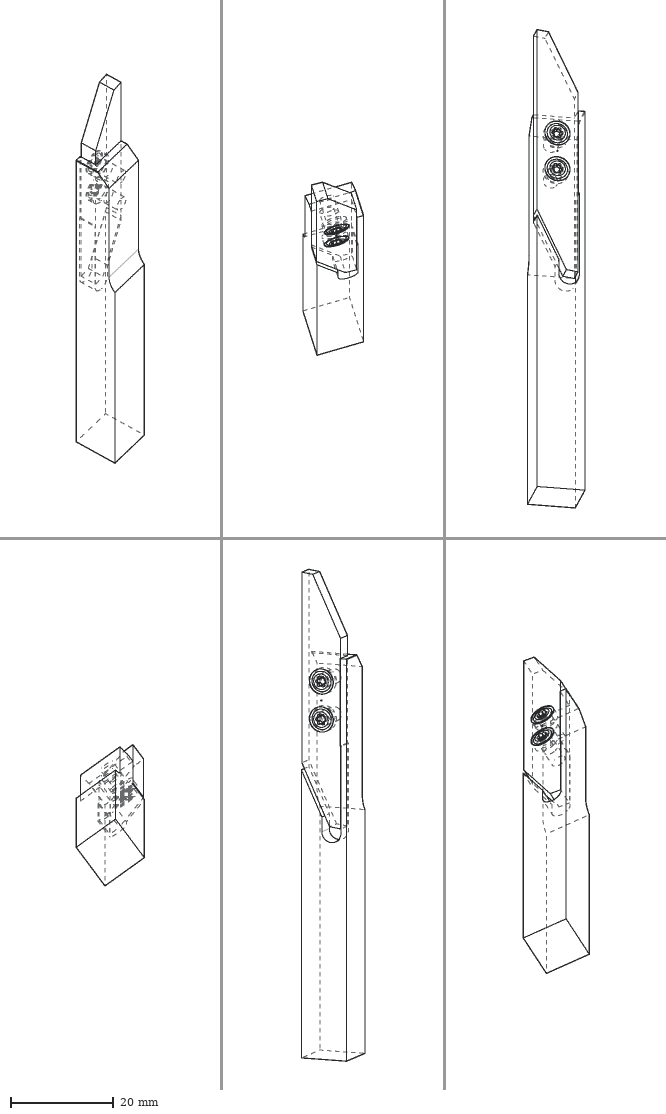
import cadquery as cq
import math


HOLDER_SIDE = 9.6
HOLDER_TOP = 80.0
HEAD_THICKNESS = 8.1
HEAD_CHAMFER = 2.8
STEP_Z = 48.5
STEP_RADIUS = 4.8
FRONT_EDGE_CHAMFER = 0.1

TOOL_LENGTH = 96.6
BLADE_INSET = 0.24
BLADE_THICKNESS = 3.6
BLADE_WIDTH = 8.2
BLADE_LENGTH = 50.5
TIP_WIDTH = 2.3
TIP_DROP = 0.3
SHOULDER_HEIGHT = 12.7
CENTRE_MARK_RADIUS = 0.1
CENTRE_MARK_DEPTH = 0.2

BLADE_CENTRE_Y = HOLDER_SIDE - BLADE_WIDTH / 2
BLADE_CENTRE_Z = TOOL_LENGTH - BLADE_LENGTH / 2
BACKING_WALL_Y = HOLDER_SIDE - BLADE_WIDTH
POCKET_FLOOR = BLADE_INSET + BLADE_THICKNESS

SLOPE_GAP = 1.4
RELIEF_RADIUS = 2.0
RELIEF_UNDERCUT = 0.2
RELIEF_CENTRE_Z = 45.3
RELIEF_TOP = 62.6

SCREW_PITCH = 7.5
HEAD_RADIUS = 2.5
HEAD_RECESS = 0.2
HEAD_FLANGE = 1.5
CROWN_RADIUS = 2.0
CROWN_FACE_RADIUS = 1.5
CROWN_HEIGHT = 0.3
SHANK_RADIUS = 1.45
SCREW_LENGTH = 6.6
SOCKET_CORE_RADIUS = 0.8
SOCKET_LOBE_RADIUS = 0.34
SOCKET_LOBES = 6
SOCKET_DEPTH = 0.8
SOCKET_POINT_RADIUS = 0.6
SOCKET_POINT_DEPTH = 0.5

FLANGE_FACE = BLADE_INSET + HEAD_RECESS
CROWN_FACE = FLANGE_FACE - CROWN_HEIGHT
COUNTERBORE_FLOOR = FLANGE_FACE + HEAD_FLANGE
SCREW_END = FLANGE_FACE + SCREW_LENGTH
SCREW_HEIGHTS = [BLADE_CENTRE_Z + side * SCREW_PITCH / 2 for side in (-1, 1)]


def side_plane(x):
    """Sketch plane at the given X: local x is Y, local y is Z, extrusion goes to +X."""
    return cq.Workplane("YZ", origin=(x, 0, 0))


def rod(radius, start_x, end_x, z):
    """Cylinder along X on the blade's centre line."""
    return side_plane(start_x).center(BLADE_CENTRE_Y, z).circle(radius).extrude(end_x - start_x)


def cone(start_radius, end_radius, start_x, height, z):
    """Cone along +X on the blade's centre line."""
    base = cq.Vector(start_x, BLADE_CENTRE_Y, z)
    return cq.Workplane(cq.Solid.makeCone(start_radius, end_radius, height, base, cq.Vector(1, 0, 0)))


def blade_outline():
    """Blade corners; the outline is unchanged by half a turn about its centre."""
    half_width = BLADE_WIDTH / 2
    half_length = BLADE_LENGTH / 2
    upper = [
        (half_width, half_length),
        (half_width - TIP_WIDTH, half_length - TIP_DROP),
        (-half_width, SHOULDER_HEIGHT),
    ]
    lower = [(-y, -z) for y, z in upper]
    return [(BLADE_CENTRE_Y + y, BLADE_CENTRE_Z + z) for y, z in upper + lower]


def make_blade():
    blade = side_plane(BLADE_INSET).polyline(blade_outline()).close().extrude(BLADE_THICKNESS)
    for z in SCREW_HEIGHTS:
        blade = blade.cut(rod(HEAD_RADIUS, BLADE_INSET, COUNTERBORE_FLOOR, z))
        blade = blade.cut(rod(SHANK_RADIUS, COUNTERBORE_FLOOR, POCKET_FLOOR, z))
    mark_end = BLADE_INSET + CENTRE_MARK_DEPTH
    return blade.cut(rod(CENTRE_MARK_RADIUS, BLADE_INSET, mark_end, BLADE_CENTRE_Z))


def make_pocket():
    """Space for the blade, open to the top and the +Y side, with a relief slot at its lower end."""
    slope_top = BLADE_CENTRE_Z - SHOULDER_HEIGHT - SLOPE_GAP
    slope_rise = BLADE_LENGTH / 2 - TIP_DROP - SHOULDER_HEIGHT
    slope = slope_rise / (BLADE_WIDTH - TIP_WIDTH)

    relief_wall_y = BACKING_WALL_Y - RELIEF_UNDERCUT
    relief_edge_y = relief_wall_y + 2 * RELIEF_RADIUS
    relief_edge_z = slope_top - slope * (HOLDER_SIDE - relief_edge_y)

    return (
        side_plane(0)
        .moveTo(HOLDER_SIDE, HOLDER_TOP)
        .lineTo(HOLDER_SIDE, slope_top)
        .lineTo(relief_edge_y, relief_edge_z)
        .lineTo(relief_edge_y, RELIEF_CENTRE_Z)
        .threePointArc(
            (relief_wall_y + RELIEF_RADIUS, RELIEF_CENTRE_Z - RELIEF_RADIUS),
            (relief_wall_y, RELIEF_CENTRE_Z),
        )
        .lineTo(relief_wall_y, RELIEF_TOP)
        .lineTo(BACKING_WALL_Y, RELIEF_TOP)
        .lineTo(BACKING_WALL_Y, HOLDER_TOP)
        .close()
        .extrude(POCKET_FLOOR)
    )


def make_holder():
    step_angle = math.acos(1 - (HOLDER_SIDE - HEAD_THICKNESS) / STEP_RADIUS)
    step_centre_x = HEAD_THICKNESS + STEP_RADIUS
    step_centre_z = STEP_Z + STEP_RADIUS * math.sin(step_angle)
    step_middle = (
        step_centre_x - STEP_RADIUS * math.cos(step_angle / 2),
        step_centre_z - STEP_RADIUS * math.sin(step_angle / 2),
    )
    holder = (
        cq.Workplane("XZ")
        .lineTo(HOLDER_SIDE, 0)
        .lineTo(HOLDER_SIDE, STEP_Z)
        .threePointArc(step_middle, (HEAD_THICKNESS, step_centre_z))
        .lineTo(HEAD_THICKNESS, HOLDER_TOP - HEAD_CHAMFER)
        .lineTo(HEAD_THICKNESS - HEAD_CHAMFER, HOLDER_TOP)
        .lineTo(0, HOLDER_TOP)
        .close()
        .extrude(-HOLDER_SIDE)
    )
    holder = holder.faces(">Z").edges("<Y").chamfer(FRONT_EDGE_CHAMFER)
    holder = holder.cut(make_pocket())
    for z in SCREW_HEIGHTS:
        holder = holder.cut(rod(SHANK_RADIUS, POCKET_FLOOR, SCREW_END, z))
    return holder


def make_socket(z):
    """Six-lobed drive recess with a conical bottom."""
    bottom_x = CROWN_FACE + SOCKET_DEPTH
    socket = rod(SOCKET_CORE_RADIUS, CROWN_FACE, bottom_x, z)
    lobes = (
        side_plane(CROWN_FACE)
        .center(BLADE_CENTRE_Y, z)
        .polarArray(SOCKET_CORE_RADIUS, 0, 360, SOCKET_LOBES)
        .circle(SOCKET_LOBE_RADIUS)
        .extrude(SOCKET_DEPTH)
    )
    return socket.union(lobes).union(cone(SOCKET_POINT_RADIUS, 0, bottom_x, SOCKET_POINT_DEPTH, z))


def make_screw(z):
    """Screw with a flanged head, a raised conical crown and a plain round shank."""
    flange = rod(HEAD_RADIUS, FLANGE_FACE, COUNTERBORE_FLOOR, z)
    crown = cone(CROWN_FACE_RADIUS, CROWN_RADIUS, CROWN_FACE, CROWN_HEIGHT, z)
    shank = rod(SHANK_RADIUS, COUNTERBORE_FLOOR, SCREW_END, z)
    return flange.union(crown).union(shank).cut(make_socket(z))


holder = make_holder()
blade = make_blade()
screws = [make_screw(z).val() for z in SCREW_HEIGHTS]

result = cq.Compound.makeCompound([holder.val(), blade.val(), *screws])